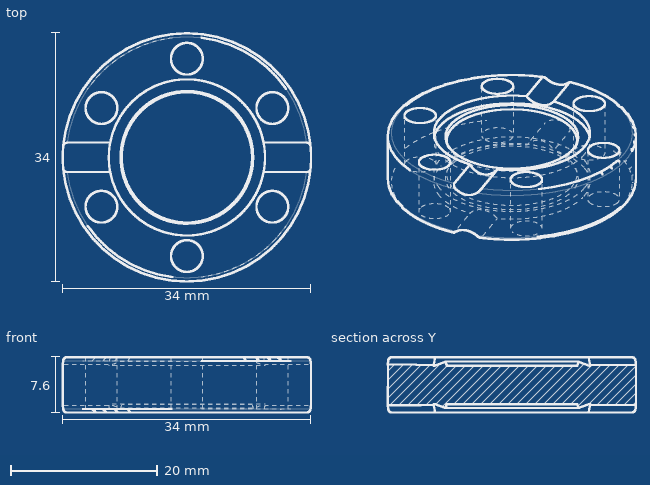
import cadquery as cq

outer_diameter = 34.0
thickness = 7.6
rim_radius = 0.5
half_thickness = thickness / 2

recess_diameter = 21.4
recess_depth = 1.2
knife_diameter = 18.2
knife_depth = 0.6
floor_diameter = 17.8
floor_depth = 1.15

bolt_count = 6
bolt_hole_diameter = 4.32
bolt_circle_diameter = 27.0
first_bolt_angle = 90

groove_width = 4.0
groove_depth = 1.02
groove_radius = ((groove_width / 2) ** 2 + groove_depth**2) / (2 * groove_depth)


def disc():
    body = cq.Workplane("XY").circle(outer_diameter / 2).extrude(half_thickness, both=True)
    return body.edges().fillet(rim_radius)


def bolt_holes():
    return (
        cq.Workplane("XY")
        .polarArray(bolt_circle_diameter / 2, first_bolt_angle, 360, bolt_count)
        .circle(bolt_hole_diameter / 2)
        .extrude(half_thickness, both=True)
    )


def top_recess():
    """Recess whose floor rises to a circular knife edge around a sunken centre."""
    return (
        cq.Workplane("XZ")
        .moveTo(0, half_thickness)
        .lineTo(recess_diameter / 2, half_thickness)
        .lineTo(recess_diameter / 2, half_thickness - recess_depth)
        .lineTo(knife_diameter / 2, half_thickness - knife_depth)
        .lineTo(floor_diameter / 2, half_thickness - floor_depth)
        .lineTo(0, half_thickness - floor_depth)
        .close()
        .revolve(360, (0, 0, 0), (0, 1, 0))
    )


def top_grooves():
    """Channels from the rim to the recess on both sides, sparing the knife edge."""
    channel = (
        cq.Workplane("YZ")
        .center(0, half_thickness - groove_depth + groove_radius)
        .circle(groove_radius)
        .extrude(outer_diameter / 2, both=True)
    )
    recess_core = cq.Workplane("XY").circle(recess_diameter / 2).extrude(half_thickness)
    return channel.cut(recess_core)


top_cuts = top_recess().union(top_grooves())
bottom_cuts = top_cuts.mirror("XY")

result = disc().cut(bolt_holes()).cut(top_cuts).cut(bottom_cuts)